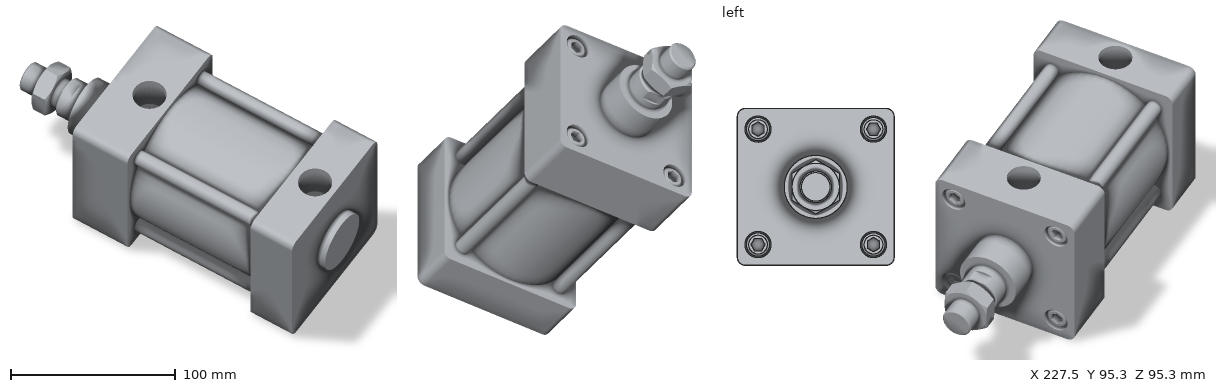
import cadquery as cq
import math

TOTAL_LENGTH = 227.5

BLOCK_SIZE = 95.3
BLOCK_CORNER_RADIUS = 5.0
FRONT_FACE_X = 63.5
FRONT_BLOCK_LENGTH = 39.5
REAR_BOSS_LENGTH = 5.5
REAR_BLOCK_LENGTH = 30.0
BOSS_DIAMETER = 38.2
FRONT_BOSS_LENGTH = 22.0

FRONT_BLOCK_END_X = FRONT_FACE_X + FRONT_BLOCK_LENGTH
REAR_FACE_X = TOTAL_LENGTH - REAR_BOSS_LENGTH
REAR_BLOCK_START_X = REAR_FACE_X - REAR_BLOCK_LENGTH
FRONT_BOSS_START_X = FRONT_FACE_X - FRONT_BOSS_LENGTH

PORT_MOUTH_DIAMETER = 20.7
PORT_FLOOR_DIAMETER = 18.9
PORT_DEPTH = 22.7
FRONT_PORT_EDGE_DISTANCE = 14.8
REAR_PORT_EDGE_DISTANCE = 16.0
FRONT_PORT_X = FRONT_BLOCK_END_X - FRONT_PORT_EDGE_DISTANCE
REAR_PORT_X = REAR_BLOCK_START_X + REAR_PORT_EDGE_DISTANCE

BARREL_DIAMETER = 89.0

BOLT_PITCH = 70.0
BOLT_COUNT = 4
BOLT_DIAMETER = 9.5
BOLT_HEAD_DIAMETER = 14.0
BOLT_HEAD_CHAMFER = 1.4
BOLT_HEAD_HEIGHT = BOLT_DIAMETER
BOLT_HEAD_SINK = 1.1
SOCKET_ACROSS_FLATS = 7.5
SOCKET_DEPTH = 4.8
COUNTERBORE_DIAMETER = 16.0
BOLT_ENGAGEMENT = 20.0

BOLT_HEAD_X = FRONT_FACE_X + BOLT_HEAD_SINK
BOLT_SHOULDER_X = BOLT_HEAD_X + BOLT_HEAD_HEIGHT
BOLT_END_X = REAR_BLOCK_START_X + BOLT_ENGAGEMENT

ROD_DIAMETER = 25.5
ROD_SHOULDER_X = 28.2
ROD_SHOULDER_CHAMFER = 1.0
ROD_ACROSS_FLATS = 22.3
FLAT_LENGTH = 7.5
THREAD_DIAMETER = 19.0
THREAD_CHAMFER = 1.0

NUT_START_X = 12.0
NUT_THICKNESS = 11.0
NUT_ACROSS_FLATS = 28.7
NUT_CHAMFER_ANGLE = 30.0

HEX_HALF_ANGLE = math.radians(30)


def bar_along_x(diameter, start_x, end_x):
    """Solid round bar on the cylinder axis from start_x to end_x."""
    return cq.Workplane("YZ").workplane(offset=start_x).circle(diameter / 2).extrude(end_x - start_x)


def hex_along_x(across_flats, start_x, end_x):
    """Hexagonal bar on the cylinder axis with two corners on the Z direction."""
    across_corners = across_flats / math.cos(HEX_HALF_ANGLE)
    return (
        cq.Workplane("YZ")
        .workplane(offset=start_x)
        .transformed(rotate=(0, 0, 90))
        .polygon(6, across_corners)
        .extrude(end_x - start_x)
    )


def at_bolt_corner(shape, index):
    """Move a shape from the axis to one bolt corner, turned with its corner about the axis."""
    return shape.translate((0, BOLT_PITCH / 2, BOLT_PITCH / 2)).rotate(
        (0, 0, 0), (1, 0, 0), index * 360 / BOLT_COUNT
    )


def make_block(start_x, end_x):
    """Square head block with rounded long edges."""
    return (
        cq.Workplane("YZ")
        .workplane(offset=start_x)
        .rect(BLOCK_SIZE, BLOCK_SIZE)
        .extrude(end_x - start_x)
        .edges("|X")
        .fillet(BLOCK_CORNER_RADIUS)
    )


def make_port(center_x):
    """Blind port narrowing slightly towards its floor, as the volume to remove from a block."""
    taper = cq.Solid.makeCone(
        PORT_MOUTH_DIAMETER / 2,
        PORT_FLOOR_DIAMETER / 2,
        PORT_DEPTH,
        pnt=cq.Vector(center_x, 0, BLOCK_SIZE / 2),
        dir=cq.Vector(0, 0, -1),
    )
    return cq.Workplane(taper)


def make_front_head():
    """Front block with its rod boss, rod bore, counterbored bolt holes and port."""
    head = make_block(FRONT_FACE_X, FRONT_BLOCK_END_X)
    head = head.union(bar_along_x(BOSS_DIAMETER, FRONT_BOSS_START_X, FRONT_FACE_X))
    head = head.cut(bar_along_x(ROD_DIAMETER, FRONT_BOSS_START_X, FRONT_BLOCK_END_X))
    bolt_hole = bar_along_x(BOLT_DIAMETER, FRONT_FACE_X, FRONT_BLOCK_END_X)
    counterbore = bar_along_x(COUNTERBORE_DIAMETER, FRONT_FACE_X, BOLT_SHOULDER_X)
    for index in range(BOLT_COUNT):
        head = head.cut(at_bolt_corner(bolt_hole.union(counterbore), index))
    return head.cut(make_port(FRONT_PORT_X))


def make_rear_head():
    """Rear block with its locating boss, blind bolt holes and port."""
    head = make_block(REAR_BLOCK_START_X, REAR_FACE_X)
    head = head.union(bar_along_x(BOSS_DIAMETER, REAR_FACE_X, TOTAL_LENGTH))
    bolt_hole = bar_along_x(BOLT_DIAMETER, REAR_BLOCK_START_X, BOLT_END_X)
    for index in range(BOLT_COUNT):
        head = head.cut(at_bolt_corner(bolt_hole, index))
    return head.cut(make_port(REAR_PORT_X))


def make_barrel():
    """Plain round barrel between the two blocks."""
    return bar_along_x(BARREL_DIAMETER, FRONT_BLOCK_END_X, REAR_BLOCK_START_X)


def make_tie_bolt():
    """Socket head tie bolt on the cylinder axis."""
    head = bar_along_x(BOLT_HEAD_DIAMETER, BOLT_HEAD_X, BOLT_SHOULDER_X)
    head = head.faces("<X").chamfer(BOLT_HEAD_CHAMFER)
    bolt = head.union(bar_along_x(BOLT_DIAMETER, BOLT_SHOULDER_X, BOLT_END_X))
    return bolt.cut(hex_along_x(SOCKET_ACROSS_FLATS, BOLT_HEAD_X, BOLT_HEAD_X + SOCKET_DEPTH))


def make_piston_rod():
    """Piston rod with wrench flats behind its shoulder and a narrower threaded end."""
    shank = bar_along_x(ROD_DIAMETER, ROD_SHOULDER_X, FRONT_BLOCK_END_X)
    shank = shank.faces("<X").chamfer(ROD_SHOULDER_CHAMFER)
    flat_cut_height = (ROD_DIAMETER - ROD_ACROSS_FLATS) / 2
    flat_cut_z = (ROD_ACROSS_FLATS + flat_cut_height) / 2
    flat_center_x = ROD_SHOULDER_X + FLAT_LENGTH / 2
    for side in (1, -1):
        flat_cut = cq.Workplane("XY").box(FLAT_LENGTH, ROD_DIAMETER, flat_cut_height)
        shank = shank.cut(flat_cut.translate((flat_center_x, 0, side * flat_cut_z)))
    thread = bar_along_x(THREAD_DIAMETER, 0, ROD_SHOULDER_X).faces("<X").chamfer(THREAD_CHAMFER)
    return shank.union(thread)


def make_lock_nut():
    """Hexagonal lock nut with its corners chamfered by a cone on both sides."""
    end_x = NUT_START_X + NUT_THICKNESS
    corner_radius = NUT_ACROSS_FLATS / 2 / math.cos(HEX_HALF_ANGLE)
    chamfer_width = corner_radius - NUT_ACROSS_FLATS / 2
    chamfer_depth = chamfer_width * math.tan(math.radians(NUT_CHAMFER_ANGLE))
    envelope = bar_along_x(2 * corner_radius, NUT_START_X, end_x)
    envelope = envelope.faces("<X or >X").chamfer(chamfer_depth, chamfer_width)
    nut = hex_along_x(NUT_ACROSS_FLATS, NUT_START_X, end_x).intersect(envelope)
    return nut.cut(bar_along_x(THREAD_DIAMETER, NUT_START_X, end_x))


front_head = make_front_head()
rear_head = make_rear_head()
barrel = make_barrel()
piston_rod = make_piston_rod()
lock_nut = make_lock_nut()
tie_bolts = [at_bolt_corner(make_tie_bolt(), index) for index in range(BOLT_COUNT)]

result = cq.Compound.makeCompound(
    [
        front_head.val(),
        rear_head.val(),
        barrel.val(),
        piston_rod.val(),
        lock_nut.val(),
        *[bolt.val() for bolt in tie_bolts],
    ]
)